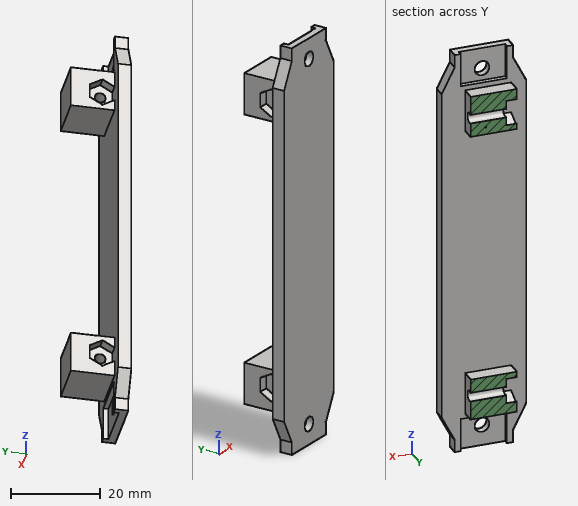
import cadquery as cq
import math

length = 98.3
width = 20.2
end_width = 14.0
end_height = 3.0
taper_end = 9.1
plate_thickness = 3.0
screw_diameter = 3.4
screw_inset = 5.0

total_depth = 13.0
block_width = 11.0
block_height = 10.0
block_left = -6.5
block_inset = taper_end

relief_width = block_width
relief_depth = 1.2
relief_height = 8.0

bolt_diameter = 2.5
bolt_inset = 14.7
bolt_offset = 2.8
nut_across_flats = 5.8
nut_depth = 2.5

half_length = length / 2
block_depth = total_depth - plate_thickness
bolt_y = plate_thickness + bolt_offset


def box(x, y, z, dx, dy, dz):
    """Box with its lowest corner at (x, y, z)."""
    return cq.Workplane("XY").box(dx, dy, dz, centered=False).translate((x, y, z))


def make_plate():
    corner_points = [
        (end_width / 2, half_length),
        (end_width / 2, half_length - end_height),
        (width / 2, half_length - taper_end),
    ]
    right_side = corner_points + [(x, -z) for x, z in reversed(corner_points)]
    left_side = [(-x, z) for x, z in reversed(right_side)]
    outline = cq.Workplane("XZ").polyline(right_side + left_side).close()
    return outline.extrude(-plate_thickness)


def make_upper_block():
    bottom = half_length - block_inset - block_height
    return box(block_left, plate_thickness, bottom, block_width, block_depth, block_height)


def make_upper_relief():
    return box(
        -relief_width / 2,
        plate_thickness - relief_depth,
        half_length - relief_height,
        relief_width,
        relief_depth,
        relief_height,
    )


def make_upper_screw_hole():
    hole = cq.Workplane("XZ").center(0, half_length - screw_inset)
    return hole.circle(screw_diameter / 2).extrude(-plate_thickness)


def make_upper_bolt_cut():
    """Cross hole along X and the nut pocket, kept clear of the plate."""
    center = (block_left, bolt_y, half_length - bolt_inset)
    face = cq.Workplane("YZ", origin=center)
    hole = face.circle(bolt_diameter / 2).extrude(block_width)
    corner_diameter = nut_across_flats / math.cos(math.radians(30))
    nut = face.polygon(6, corner_diameter).extrude(nut_depth)
    nut = nut.rotate(center, (center[0] + 1, center[1], center[2]), 90)
    return hole.union(nut).intersect(make_upper_block())


def at_both_ends(upper):
    """Add the mirror image at the lower end."""
    return upper.union(upper.mirror("XY"))


result = (
    make_plate()
    .cut(at_both_ends(make_upper_relief()))
    .union(at_both_ends(make_upper_block()))
    .cut(at_both_ends(make_upper_screw_hole()))
    .cut(at_both_ends(make_upper_bolt_cut()))
)